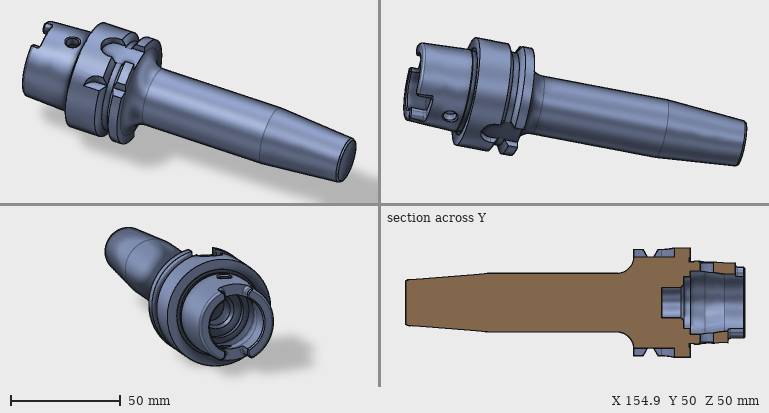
import cadquery as cq
import math

length = 154.9

mouth_radius = 18.0
taper_slope = 1 / 20
mouth_fillet = 1.1
neck_start = 23.0
neck_radius = 18.7
neck_ramp = 0.5

flange_diameter = 50.0
flange_radius = flange_diameter / 2
flange_start = 25.0
flange_end = 50.8
undercut_radius = 20.3
undercut_depth = 0.5
groove_center = 43.0
groove_floor_width = 2.8
groove_radius = 21.5
groove_flank = math.radians(30)

body_radius = 13.5
body_fillet = 7.6
nose_start = 117.1
nose_radius = 10.5
nose_chamfer_length = 1.0
nose_chamfer_height = 0.6

bore_radius = 13.0
bore_chamfer_radius = 13.6
bore_chamfer_length = 0.6
bore_shoulder = 9.3
chamber_start = 18.3
chamber_radius = 14.4
chamber_end = 25.0
seat_radius = 11.8
seat_end = 27.9
inner_hole_radius = 6.8
inner_hole_chamfer = 1.4
inner_hole_depth = 10.0

cross_hole_x = 17.3
cross_hole_radius = 3.0
cross_hole_sink_radius = 3.7
cross_hole_sink_depth = 0.8

drive_half_width = 5.3
drive_shoulder_height = 16.3
drive_shoulder_radius = 2.6
drive_floor_fillet = 1.1
drive_edge_break = 0.6
drive_depth_top = 4.3
drive_depth_bottom = 7.6

keyway_start = 32.2
keyway_width = 11.6
keyway_half_width = keyway_width / 2
keyway_floor = 20.9

notch_corner = 15.3
notch_start = 31.8
notch_cutter_radius = 5.5


def turned_over(shape):
    """The same shape turned half a turn about the X axis."""
    return shape.rotate((0, 0, 0), (1, 0, 0), 180)


def taper_radius(x):
    """Outer radius of the shank taper at a distance x from its mouth."""
    return mouth_radius + taper_slope * x


def make_body():
    """Outer shape, turned about the X axis."""
    fillet_outer_radius = taper_radius(mouth_fillet)
    mouth_diagonal = mouth_fillet * math.sqrt(0.5)
    flank_run = (flange_radius - groove_radius) * math.tan(groove_flank)
    groove_left = groove_center - groove_floor_width / 2
    groove_right = groove_center + groove_floor_width / 2
    fillet_center = (flange_end + body_fillet, body_radius + body_fillet)
    fillet_diagonal = body_fillet * math.sqrt(0.5)
    return (
        cq.Workplane("XY")
        .moveTo(0, 0)
        .lineTo(0, fillet_outer_radius - mouth_fillet)
        .threePointArc(
            (mouth_fillet - mouth_diagonal, fillet_outer_radius - mouth_fillet + mouth_diagonal),
            (mouth_fillet, fillet_outer_radius),
        )
        .lineTo(neck_start, taper_radius(neck_start))
        .lineTo(neck_start + neck_ramp, neck_radius)
        .lineTo(flange_start + undercut_depth, neck_radius)
        .lineTo(flange_start + undercut_depth, undercut_radius)
        .lineTo(flange_start, undercut_radius)
        .lineTo(flange_start, flange_radius)
        .lineTo(groove_left - flank_run, flange_radius)
        .lineTo(groove_left, groove_radius)
        .lineTo(groove_right, groove_radius)
        .lineTo(groove_right + flank_run, flange_radius)
        .lineTo(flange_end, flange_radius)
        .lineTo(flange_end, fillet_center[1])
        .threePointArc(
            (fillet_center[0] - fillet_diagonal, fillet_center[1] - fillet_diagonal),
            (fillet_center[0], body_radius),
        )
        .lineTo(nose_start, body_radius)
        .lineTo(length - nose_chamfer_length, nose_radius)
        .lineTo(length, nose_radius - nose_chamfer_height)
        .lineTo(length, 0)
        .close()
        .revolve(360, (0, 0, 0), (1, 0, 0))
    )


def make_bore():
    """Stepped bore of the hollow shank, turned about the X axis."""
    return (
        cq.Workplane("XY")
        .moveTo(0, 0)
        .lineTo(0, bore_chamfer_radius)
        .lineTo(bore_chamfer_length, bore_radius)
        .lineTo(bore_shoulder, bore_radius)
        .lineTo(chamber_start, chamber_radius)
        .lineTo(chamber_end, chamber_radius)
        .lineTo(chamber_end, seat_radius)
        .lineTo(seat_end, seat_radius)
        .lineTo(seat_end, inner_hole_radius + inner_hole_chamfer)
        .lineTo(seat_end + inner_hole_chamfer, inner_hole_radius)
        .lineTo(seat_end + inner_hole_depth, inner_hole_radius)
        .lineTo(seat_end + inner_hole_depth, 0)
        .close()
        .revolve(360, (0, 0, 0), (1, 0, 0))
    )


def make_cross_hole():
    """Radial hole through both walls, countersunk from the outside at each end."""
    outside = taper_radius(cross_hole_x)
    half_hole = (
        cq.Workplane("XZ", origin=(cross_hole_x, 0, 0))
        .lineTo(cross_hole_radius, 0)
        .lineTo(cross_hole_radius, outside - cross_hole_sink_depth)
        .lineTo(cross_hole_sink_radius, outside)
        .lineTo(cross_hole_sink_radius, flange_radius)
        .lineTo(0, flange_radius)
        .close()
        .revolve(360, (0, 0, 0), (0, 1, 0))
    )
    return half_hole.union(turned_over(half_hole))


def make_drive_slot(depth):
    """Slot on the +Z side, wider above two rounded shoulders, with filleted floor and beveled rim."""
    slot_bottom = bore_radius / 2
    slot_top = flange_radius
    outer_half_width = mouth_radius
    shoulder_start = drive_half_width + drive_shoulder_radius
    arc_center_z = drive_shoulder_height - drive_shoulder_radius
    arc_diagonal = drive_shoulder_radius * math.sqrt(0.5)
    arc_mid_y = shoulder_start - arc_diagonal
    arc_mid_z = arc_center_z + arc_diagonal
    outline = (
        cq.Workplane("YZ")
        .moveTo(-drive_half_width, slot_bottom)
        .lineTo(drive_half_width, slot_bottom)
        .lineTo(drive_half_width, arc_center_z)
        .threePointArc((arc_mid_y, arc_mid_z), (shoulder_start, drive_shoulder_height))
        .lineTo(outer_half_width, drive_shoulder_height)
        .lineTo(outer_half_width, slot_top)
        .lineTo(-outer_half_width, slot_top)
        .lineTo(-outer_half_width, drive_shoulder_height)
        .lineTo(-shoulder_start, drive_shoulder_height)
        .threePointArc((-arc_mid_y, arc_mid_z), (-drive_half_width, arc_center_z))
        .close()
        .val()
    )
    slot = cq.Workplane("YZ").add(outline).toPending().extrude(depth)
    slot = slot.faces(">X").edges().fillet(drive_floor_fillet)
    rim = outline.offset2D(drive_edge_break)[0]
    edge_break = cq.Workplane("YZ").add(rim).toPending().extrude(drive_edge_break, taper=45)
    return slot.union(edge_break)


def make_keyway():
    """Flat-floored keyway on the +Z side with a round end, open toward +X."""
    round_center = keyway_start + keyway_half_width
    return (
        cq.Workplane("XY", origin=(0, 0, keyway_floor))
        .moveTo(round_center, -keyway_half_width)
        .lineTo(flange_end, -keyway_half_width)
        .lineTo(flange_end, keyway_half_width)
        .lineTo(round_center, keyway_half_width)
        .threePointArc((keyway_start, 0), (round_center, -keyway_half_width))
        .close()
        .extrude(flange_radius)
    )


def make_notch():
    """Square-cornered notch on the -Y, +Z shoulder of the flange, rounded at its -X end."""
    round_center = notch_start + notch_cutter_radius
    arc_diagonal = notch_cutter_radius * math.sqrt(0.5)
    arc_center_y = -notch_corner - notch_cutter_radius
    return (
        cq.Workplane("XY", origin=(0, 0, notch_corner))
        .moveTo(flange_end, -notch_corner)
        .lineTo(round_center, -notch_corner)
        .threePointArc(
            (round_center - arc_diagonal, arc_center_y + arc_diagonal),
            (notch_start, arc_center_y),
        )
        .lineTo(notch_start, -flange_radius)
        .lineTo(flange_end, -flange_radius)
        .close()
        .extrude(flange_radius)
    )


result = (
    make_body()
    .cut(make_bore())
    .cut(make_cross_hole())
    .cut(make_drive_slot(drive_depth_top))
    .cut(turned_over(make_drive_slot(drive_depth_bottom)))
    .cut(make_keyway())
    .cut(turned_over(make_keyway()))
    .cut(make_notch())
)